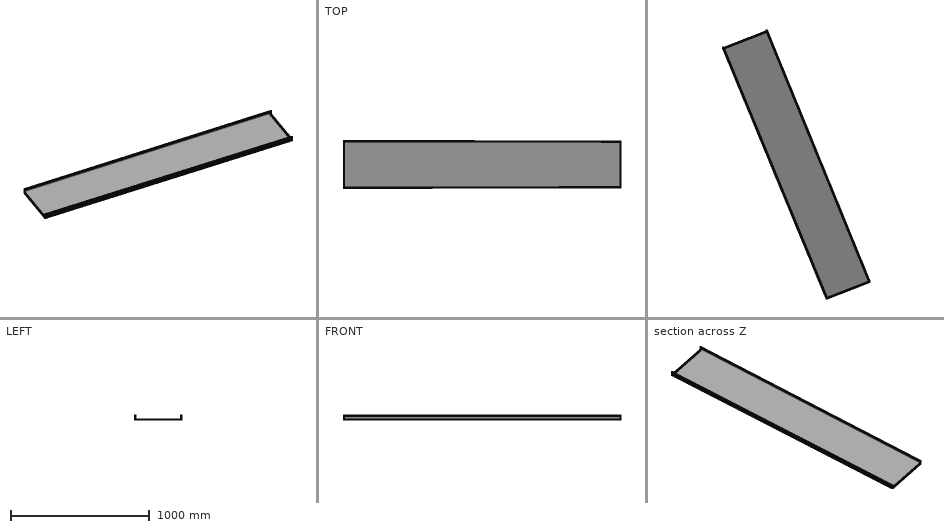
import cadquery as cq
import math

LENGTH = 2000.0
WIDE_WIDTH = 338.5
NARROW_WIDTH = 331.5
HEIGHT = 30.0

SHEET = 0.5
BEND_TURN = 90.0
BEND_INNER = SHEET
BEND_OUTER = BEND_INNER + SHEET

HEM_OVERBEND = 10.0
HEM_FOLD = 180.0 + HEM_OVERBEND
HEM_LEAF = 5.0

TAPER = (WIDE_WIDTH - NARROW_WIDTH) / 2
WALL_LENGTH = math.hypot(LENGTH, TAPER)
FLOOR_HALF_WIDE = WIDE_WIDTH / 2 - BEND_OUTER
FLOOR_HALF_NARROW = NARROW_WIDTH / 2 - BEND_OUTER


def make_floor():
    """Flat trapezoidal floor between the bends, narrowing towards +X."""
    outline = [
        (0, -FLOOR_HALF_WIDE),
        (LENGTH, -FLOOR_HALF_NARROW),
        (LENGTH, FLOOR_HALF_NARROW),
        (0, FLOOR_HALF_WIDE),
    ]
    return cq.Workplane("XY").polyline(outline).close().extrude(SHEET)



def bend_point(radius, degrees):
    """Point on the bend; 0 degrees is at the floor, 90 degrees is at the wall."""
    angle = math.radians(degrees)
    return radius * math.sin(angle), BEND_OUTER - radius * math.cos(angle)


def hem_point(radius, degrees):
    """Point on the hem fold; 0 degrees is at the wall, 90 degrees is the crest."""
    angle = math.radians(degrees)
    return radius * math.cos(angle), HEIGHT - BEND_OUTER + radius * math.sin(angle)


def leaf_end(radius):
    """Free end of the hem leaf, which leaves the fold along its tangent."""
    across, up = hem_point(radius, HEM_FOLD)
    lean = math.radians(HEM_OVERBEND)
    return across + HEM_LEAF * math.sin(lean), up - HEM_LEAF * math.cos(lean)


def make_wall():
    """Wall on the +Y edge of the floor, with its bend and hem, square to that edge."""
    section_plane = cq.Plane(
        origin=(0, FLOOR_HALF_WIDE, 0),
        xDir=(TAPER, LENGTH, 0),
        normal=(LENGTH, -TAPER, 0),
    )
    section = (
        cq.Workplane(section_plane)
        .moveTo(*bend_point(BEND_OUTER, 0))
        .threePointArc(bend_point(BEND_OUTER, BEND_TURN / 2), bend_point(BEND_OUTER, BEND_TURN))
        .lineTo(*hem_point(BEND_OUTER, 0))
        .threePointArc(hem_point(BEND_OUTER, HEM_FOLD / 2), hem_point(BEND_OUTER, HEM_FOLD))
        .lineTo(*leaf_end(BEND_OUTER))
        .lineTo(*leaf_end(BEND_INNER))
        .lineTo(*hem_point(BEND_INNER, HEM_FOLD))
        .threePointArc(hem_point(BEND_INNER, HEM_FOLD / 2), hem_point(BEND_INNER, 0))
        .lineTo(*bend_point(BEND_INNER, BEND_TURN))
        .threePointArc(bend_point(BEND_INNER, BEND_TURN / 2), bend_point(BEND_INNER, 0))
        .close()
    )
    return section.extrude(WALL_LENGTH)


wall = make_wall()
result = make_floor().union(wall).union(wall.mirror("XZ"))